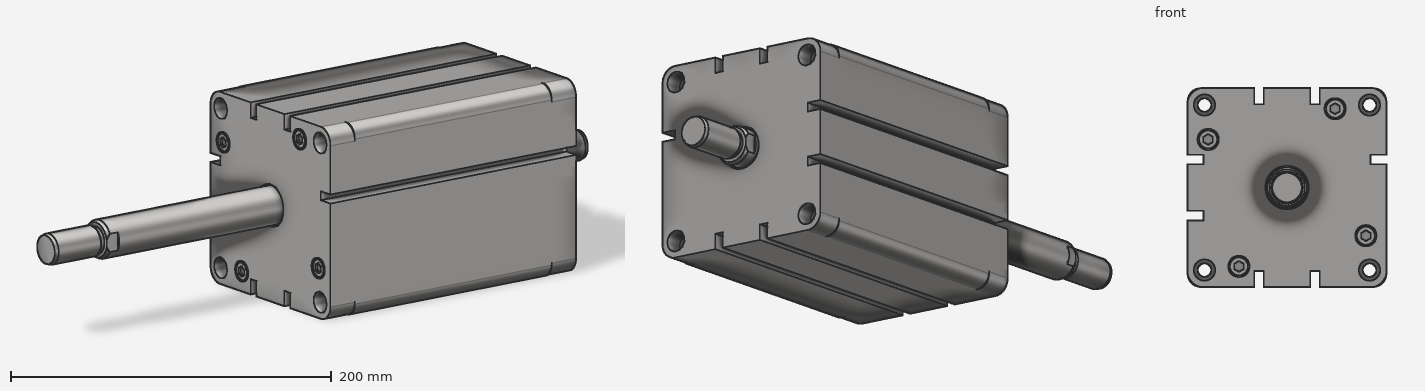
import cadquery as cq
body_side = 124.0
body_length = 192.0
front_rod_length = 175.5
rear_rod_length = 49.0
cap_length = 19.0
cap_corner_radius = 10.0
tube_corner_radius = 8.7

slot_width = 6.0
slot_depth = 10.0
slot_offset = 17.5

rod_diameter = 25.0
shoulder_chamfer_length = 2.5
shoulder_chamfer_height = 1.2
thread_diameter = 20.0
thread_chamfer_length = 2.5
thread_chamfer_height = 1.0
undercut_diameter = 17.5
undercut_length = 2.5
undercut_taper = (thread_diameter - undercut_diameter) / 2
stud_length = 39.0
flat_length = 8.7
flat_spacing = 22.0

rod_recess_diameter = 27.0
rod_recess_depth = 1.5

mount_offset = 51.45
mount_hole_diameter = 8.5
mount_counterbore_diameter = 13.5
mount_counterbore_depth = 12.5

screw_long_offset = 49.0
screw_short_offset = 30.0
screw_recess_diameter = 13.5
screw_head_diameter = 11.2
screw_gap_depth = 0.5
socket_width = 6.0
socket_depth = 1.5

half_side = body_side / 2
body_front = -body_length / 2
body_rear = body_length / 2
rod_front = body_front - front_rod_length
rod_rear = body_rear + rear_rod_length


def section_sketch(y):
    """Workplane across the axis at y: local x is X, local y is Z, extrusion goes toward -Y."""
    return cq.Workplane("XZ", origin=(0, y, 0))


def rounded_bar(front, rear, corner_radius):
    bar = section_sketch(rear).rect(body_side, body_side).extrude(rear - front)
    return bar.edges("|Y").fillet(corner_radius)


def cylinder(points, diameter, front, rear):
    """Equal cylinders along Y, one on each (X, Z) point."""
    return section_sketch(rear).pushPoints(points).circle(diameter / 2).extrude(rear - front)


def make_body():
    """Tube between two caps whose corners are slightly rounder."""
    tube_front = body_front + cap_length
    tube_rear = body_rear - cap_length
    front_cap = rounded_bar(body_front, tube_front, cap_corner_radius)
    tube = rounded_bar(tube_front, tube_rear, tube_corner_radius)
    rear_cap = rounded_bar(tube_rear, body_rear, cap_corner_radius)
    return front_cap.union(tube).union(rear_cap)


def make_slots():
    """Sensor slots: two on every side except +X, which has only the upper one."""
    slot_centre = half_side - slot_depth / 2
    upright_slots = [(x, z) for x in (-slot_offset, slot_offset) for z in (-slot_centre, slot_centre)]
    level_slots = [(-slot_centre, -slot_offset), (-slot_centre, slot_offset), (slot_centre, slot_offset)]
    section = section_sketch(body_rear)
    upright = section.pushPoints(upright_slots).rect(slot_width, slot_depth).extrude(body_length)
    level = section.pushPoints(level_slots).rect(slot_depth, slot_width).extrude(body_length)
    return upright.union(level)


def make_mount_holes():
    """Corner through holes, counterbored from both ends."""
    corners = [(x, z) for x in (-mount_offset, mount_offset) for z in (-mount_offset, mount_offset)]
    holes = cylinder(corners, mount_hole_diameter, body_front, body_rear)
    front_bores = cylinder(corners, mount_counterbore_diameter, body_front, body_front + mount_counterbore_depth)
    rear_bores = cylinder(corners, mount_counterbore_diameter, body_rear - mount_counterbore_depth, body_rear)
    return holes.union(front_bores).union(rear_bores)


def make_screw_recesses():
    """Ring gaps and hexagon sockets of four flush cap screws, a quarter turn apart."""
    centres = []
    x, z = screw_short_offset, screw_long_offset
    for _ in range(4):
        centres.append((x, z))
        x, z = -z, x
    gap_floor = body_front + screw_gap_depth
    socket_floor = body_front + socket_depth
    gaps = cylinder(centres, screw_recess_diameter, body_front, gap_floor)
    heads = cylinder(centres, screw_head_diameter, body_front, gap_floor)
    sockets = section_sketch(socket_floor).pushPoints(centres)
    sockets = sockets.polygon(6, socket_width, circumscribed=True).extrude(socket_depth)
    return gaps.cut(heads).union(sockets)


def make_rod_recesses():
    """Shallow clearance around the rod in both end faces."""
    axis = [(0, 0)]
    front = cylinder(axis, rod_recess_diameter, body_front, body_front + rod_recess_depth)
    rear = cylinder(axis, rod_recess_diameter, body_rear - rod_recess_depth, body_rear)
    return front.union(rear)


def rod_end_profile(tip, inward):
    """(radius, y) points of one rod end, from the tip on the axis to the full rod diameter."""
    rod_radius = rod_diameter / 2
    thread_radius = thread_diameter / 2
    undercut_radius = undercut_diameter / 2
    points_from_tip = [
        (0, 0),
        (thread_radius - thread_chamfer_height, 0),
        (thread_radius, thread_chamfer_length),
        (thread_radius, stud_length - undercut_length - undercut_taper),
        (undercut_radius, stud_length - undercut_length),
        (undercut_radius, stud_length),
        (rod_radius - shoulder_chamfer_height, stud_length),
        (rod_radius, stud_length + shoulder_chamfer_length),
    ]
    return [(radius, tip + inward * distance) for radius, distance in points_from_tip]


def make_flat_cuts(shoulder, inward):
    """Two blocks that leave wrench flats facing -X and +X next to a rod shoulder."""
    flat_centre = shoulder + inward * flat_length / 2
    block_centre = (flat_spacing + rod_diameter) / 2
    blocks = cq.Workplane("XY", origin=(0, flat_centre, 0))
    blocks = blocks.pushPoints([(-block_centre, 0), (block_centre, 0)])
    return blocks.box(rod_diameter, flat_length, rod_diameter)


def make_rod():
    front_end = rod_end_profile(rod_front, 1)
    rear_end = rod_end_profile(rod_rear, -1)
    outline = front_end + rear_end[::-1]
    rod = cq.Workplane("XY").polyline(outline).close().revolve(360, (0, 0, 0), (0, 1, 0))
    rod = rod.cut(make_flat_cuts(rod_front + stud_length, 1))
    return rod.cut(make_flat_cuts(rod_rear - stud_length, -1))


body = make_body().cut(make_slots()).cut(make_mount_holes())
body = body.cut(make_screw_recesses()).cut(make_rod_recesses())
result = body.union(make_rod())